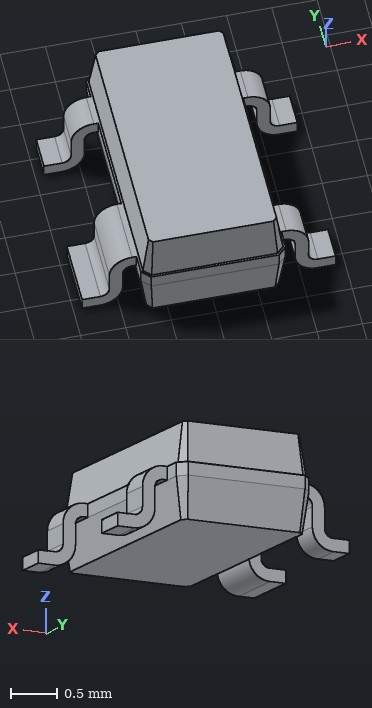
import cadquery as cq
import math

body_length = 2.9
body_width = 1.6
lead_span = 2.8
overall_height = 1.2

standoff = 0.1
corner_chamfer = 0.095
draft_angle = 8.2
upper_step = 0.025

lead_thickness = 0.15
inner_bend_radius = 0.1
shank_outer_x = 1.1
lead_width = 0.38
wide_lead_width = 2 * lead_width
lead_outer_y = 1.14

band_mid_z = (standoff + overall_height) / 2
band_bottom_z = band_mid_z - lead_thickness / 2
band_top_z = band_mid_z + lead_thickness / 2


def chamfered_outline(z, inset=0.0):
    """Body rectangle at height z, every side moved inward by inset, with chamfered corners."""
    x = body_width / 2 - inset
    y = body_length / 2 - inset
    leg = corner_chamfer - inset * (2 - math.sqrt(2))
    points = [
        (x, y - leg),
        (x - leg, y),
        (leg - x, y),
        (-x, y - leg),
        (-x, leg - y),
        (leg - x, -y),
        (x - leg, -y),
        (x, leg - y),
    ]
    return cq.Workplane("XY").workplane(offset=z).polyline(points).close()


def make_body():
    """Central band with a drafted half above and another below."""
    lower_height = band_bottom_z - standoff
    upper_height = overall_height - band_top_z
    band = chamfered_outline(band_bottom_z).extrude(lead_thickness)
    lower = chamfered_outline(band_bottom_z).extrude(-lower_height, taper=draft_angle)
    upper = chamfered_outline(band_top_z, upper_step).extrude(upper_height, taper=draft_angle)
    return band.union(lower).union(upper)


def make_lead(side, y_min, width):
    """Gull-wing lead on the +X (side = 1) or -X (side = -1) flank, from y_min to y_min + width."""
    outer_radius = inner_bend_radius + lead_thickness
    shank_inner_x = shank_outer_x - lead_thickness
    root_x = body_width / 2 - upper_step
    tip_x = lead_span / 2
    diagonal = math.sqrt(0.5)

    upper_x = shank_inner_x - inner_bend_radius
    upper_z = band_bottom_z - inner_bend_radius
    lower_x = shank_outer_x + inner_bend_radius
    lower_z = lead_thickness + inner_bend_radius

    def upper_bend_mid(radius):
        return (side * (upper_x + radius * diagonal), upper_z + radius * diagonal)

    def lower_bend_mid(radius):
        return (side * (lower_x - radius * diagonal), lower_z - radius * diagonal)

    profile = (
        cq.Workplane("XZ", origin=(0, y_min, 0))
        .moveTo(side * root_x, band_top_z)
        .lineTo(side * upper_x, band_top_z)
        .threePointArc(upper_bend_mid(outer_radius), (side * shank_outer_x, upper_z))
        .lineTo(side * shank_outer_x, lower_z)
        .threePointArc(lower_bend_mid(inner_bend_radius), (side * lower_x, lead_thickness))
        .lineTo(side * tip_x, lead_thickness)
        .lineTo(side * tip_x, 0)
        .lineTo(side * lower_x, 0)
        .threePointArc(lower_bend_mid(outer_radius), (side * shank_inner_x, lower_z))
        .lineTo(side * shank_inner_x, upper_z)
        .threePointArc(upper_bend_mid(inner_bend_radius), (side * upper_x, band_bottom_z))
        .lineTo(side * root_x, band_bottom_z)
        .close()
    )
    return profile.extrude(-width)


result = make_body()
for side, front_width in ((-1, wide_lead_width), (1, lead_width)):
    front_lead = make_lead(side, -lead_outer_y, front_width)
    rear_lead = make_lead(side, lead_outer_y - lead_width, lead_width)
    result = result.union(front_lead).union(rear_lead)